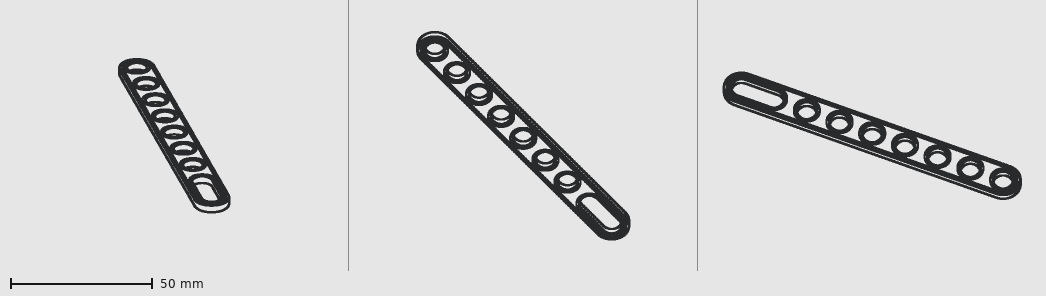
import cadquery as cq

station_count = 9
round_hole_count = station_count - 2

length = 112.5
pitch = length / station_count
width = pitch
thickness = 3.2
first_station_x = -(length - width) / 2
last_station_x = -first_station_x

hole_diameter = 7.0
rim_diameter = 9.2

border_width = 1.1
recess_depth = 0.2

edge_chamfer = 0.3


def station_x(index):
    """X position of a station along the bar."""
    return first_station_x + index * pitch


openings = [(station_x(index), station_x(index)) for index in range(round_hole_count)]
openings.append((station_x(round_hole_count), last_station_x))


def round_ended_prism(start_x, end_x, diameter, height):
    """Upright prism centred on Z = 0, with round ends centred at start_x and end_x."""
    span = end_x - start_x
    outline = cq.Workplane("XY", origin=((start_x + end_x) / 2, 0, 0))
    if span > 0:
        outline = outline.slot2D(span + diameter, diameter)
    else:
        outline = outline.circle(diameter / 2)
    return outline.extrude(height / 2, both=True)


def pierced_bar():
    """Bar with all its openings, chamfered along every edge of both faces."""
    bar = round_ended_prism(first_station_x, last_station_x, width, thickness)
    for start_x, end_x in openings:
        bar = bar.cut(round_ended_prism(start_x, end_x, hole_diameter, thickness))
    return bar.faces(">Z or <Z").chamfer(edge_chamfer)


def face_recesses():
    """Material removed from both faces between the border and the opening rims."""
    web_width = width - 2 * border_width
    recess = round_ended_prism(first_station_x, last_station_x, web_width, thickness)
    web_thickness = thickness - 2 * recess_depth
    web_core = round_ended_prism(first_station_x, last_station_x, width, web_thickness)
    recess = recess.cut(web_core)
    for start_x, end_x in openings:
        recess = recess.cut(round_ended_prism(start_x, end_x, rim_diameter, thickness))
    return recess


result = pierced_bar().cut(face_recesses())